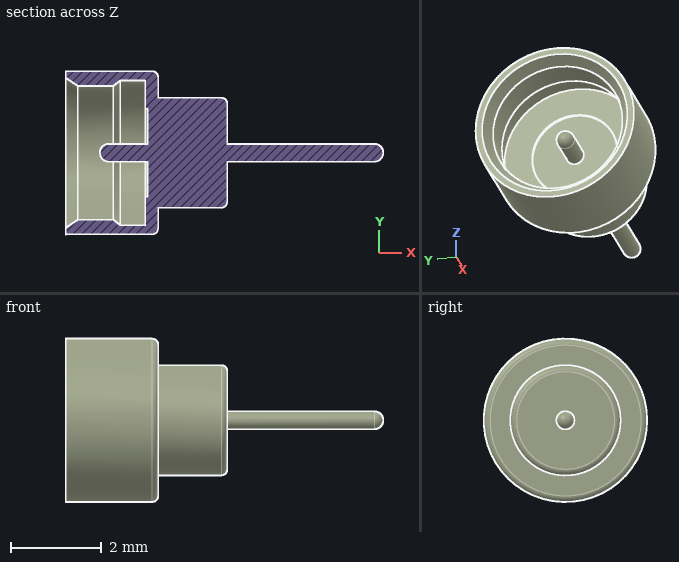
import cadquery as cq

rim_radius = 1.8
rim_length = 2.04
neck_radius = 1.215
neck_end = 3.56
shell_edge_radius = 0.14

mouth_radius = 1.65
throat_radius = 1.47
chamber_radius = 1.59
throat_start = 0.27
throat_end = 1.05
chamber_start = 1.20
socket_floor = 1.75

recess_radius = 0.965
recess_depth = 0.05

pin_radius = 0.2
pin_start = 0.75
pin_end = 6.99


def rod(radius, start, end):
    """Solid cylinder on the X axis between two X positions."""
    return cq.Workplane("YZ", origin=(start, 0, 0)).circle(radius).extrude(end - start)


def revolve_about_x(half_profile):
    """Turn a closed XY half profile fully around the X axis."""
    return half_profile.revolve(360, (0, 0, 0), (1, 0, 0))


def make_shell():
    rim = rod(rim_radius, 0, rim_length).faces(">X").edges().fillet(shell_edge_radius)
    neck = rod(neck_radius, socket_floor, neck_end).faces(">X").edges().fillet(shell_edge_radius)
    return rim.union(neck)


def make_socket():
    half_profile = (
        cq.Workplane("XY")
        .moveTo(0, 0)
        .lineTo(0, mouth_radius)
        .lineTo(throat_start, throat_radius)
        .lineTo(throat_end, throat_radius)
        .lineTo(chamber_start, chamber_radius)
        .lineTo(socket_floor, chamber_radius)
        .lineTo(socket_floor, 0)
        .close()
    )
    recess = rod(recess_radius, socket_floor, socket_floor + recess_depth)
    return revolve_about_x(half_profile).union(recess)


def make_pin():
    half_profile = (
        cq.Workplane("XY")
        .moveTo(pin_start, 0)
        .radiusArc((pin_start + pin_radius, pin_radius), pin_radius)
        .lineTo(pin_end - pin_radius, pin_radius)
        .radiusArc((pin_end, 0), pin_radius)
        .close()
    )
    return revolve_about_x(half_profile)


result = make_shell().cut(make_socket()).union(make_pin())